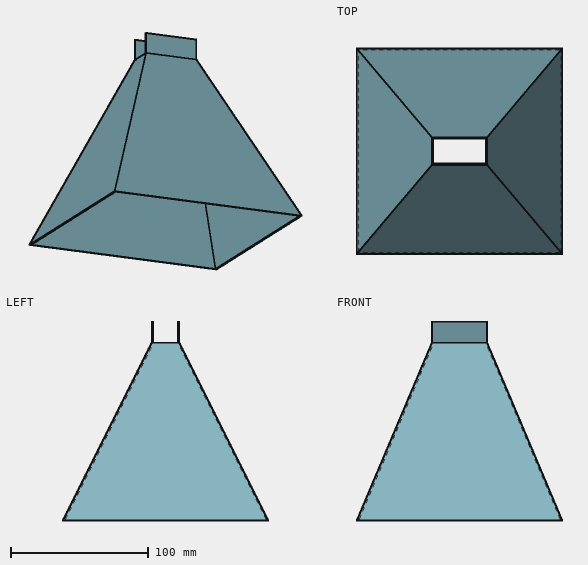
import cadquery as cq

base_side = 150.0
neck_length = 40.4
neck_width = 20.2
total_height = 145.0
tab_height = 15.3
wall = 1.2

funnel_height = total_height - tab_height


def tapered_block(inset):
    """Solid frustum from the square base to the neck, drawn in by inset on every side."""
    return (
        cq.Workplane("XY")
        .rect(base_side - 2 * inset, base_side - 2 * inset)
        .workplane(offset=funnel_height)
        .rect(neck_length - 2 * inset, neck_width - 2 * inset)
        .loft(ruled=True)
    )


def neck_tab(side):
    """Upright plate along one long edge of the neck; side is -1 or +1 along Y."""
    return (
        cq.Workplane("XY", origin=(0, side * (neck_width - wall) / 2, funnel_height))
        .box(neck_length, wall, tab_height, centered=(True, True, False))
    )


result = tapered_block(0).cut(tapered_block(wall))

for side in (-1, 1):
    result = result.union(neck_tab(side))